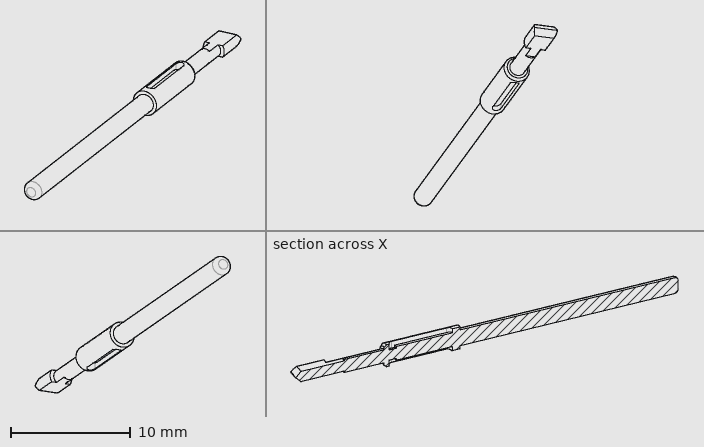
import cadquery as cq

length = 35.1
tip_end = length / 2

head_diameter = 2.0
shaft_diameter = 1.35
neck_diameter = 1.05
core_diameter = 1.4
sleeve_diameter = 2.2
body_diameter = 1.6

head_length = 3.0
flat_length = 4.45
sleeve_start = 8.1
neck_end = 9.23
sleeve_end = 15.1

flat_thickness = 1.05
bevel_length = 0.5

sleeve_chamfer = 0.2
tail_fillet = 0.4

slot_width = 0.75
slot_start = 8.6
slot_end = 14.35


def rod(diameter, start, end):
    """Round bar along Y between two distances back from the tip."""
    return (
        cq.Workplane("XZ", origin=(0, tip_end - start, 0))
        .circle(diameter / 2)
        .extrude(end - start)
    )


def make_chisel_envelope():
    """Pointed slab with the side outline of the flattened front, wider in X than the head."""
    half_thickness = flat_thickness / 2
    bevel_end = tip_end - bevel_length
    flat_end = tip_end - flat_length
    return (
        cq.Workplane("YZ")
        .polyline([
            (tip_end, 0),
            (bevel_end, half_thickness),
            (flat_end, half_thickness),
            (flat_end, -half_thickness),
            (bevel_end, -half_thickness),
        ])
        .close()
        .extrude(head_diameter, both=True)
    )


def make_chisel():
    """Head and front of the shaft, both cut to the same flats."""
    head = rod(head_diameter, 0, head_length)
    shaft_front = rod(shaft_diameter, head_length, flat_length)
    return head.union(shaft_front).intersect(make_chisel_envelope())


def make_sleeve():
    """Chamfered sleeve with a round-ended slot running through it along Z."""
    sleeve = rod(sleeve_diameter, sleeve_start, sleeve_end).faces(">Y").chamfer(sleeve_chamfer)
    slot_middle = tip_end - (slot_start + slot_end) / 2
    slot = (
        cq.Workplane("XY", origin=(0, slot_middle, 0))
        .slot2D(slot_end - slot_start, slot_width, 90)
        .extrude(sleeve_diameter, both=True)
    )
    return sleeve.cut(slot)


def make_core():
    """Bar that closes the bottoms of the slots, with a thinner neck at their front end."""
    shaft = rod(shaft_diameter, flat_length, slot_start)
    neck = rod(neck_diameter, slot_start, neck_end)
    core = rod(core_diameter, neck_end, sleeve_end)
    return shaft.union(neck).union(core)


def make_body():
    """Plain round body behind the sleeve, with a rounded tail."""
    return rod(body_diameter, sleeve_end, length).faces("<Y").edges().fillet(tail_fillet)


result = make_chisel().union(make_core()).union(make_sleeve()).union(make_body())